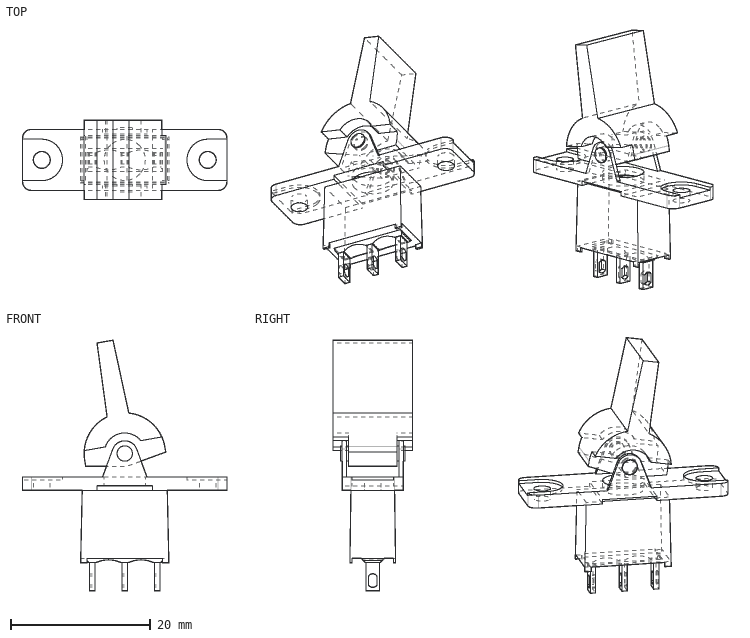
import cadquery as cq
import math

PLATE_LENGTH = 29.36
PLATE_WIDTH = 8.79
PLATE_THICKNESS = 1.95
PLATE_CORNER_RADIUS = 1.27
MOUNT_HOLE_DIAMETER = 2.39
MOUNT_HOLE_X = 11.91
MOUNT_POCKET_RADIUS = 2.98
MOUNT_POCKET_DEPTH = 0.43
CENTRE_BORE_DIAMETER = 5.9
RELIEF_LENGTH = 7.96
RELIEF_DEPTH = 0.65

PIVOT_HEIGHT = 5.3
PIVOT_DIAMETER = 2.2
PIVOT_LENGTH = 9.26
EAR_TIP_RADIUS = 1.83
EAR_BASE_HALF = 3.2
EAR_THICKNESS = 0.64

ROCKER_TILT = 10.0
ROCKER_WIDTH = 11.43
ROCKER_CORE_WIDTH = 7.03
ROCKER_RADIUS = 5.85
UNDERSIDE_DEPTH = 1.86
UNDERSIDE_SLOPE = 10.0
PADDLE_TOP = 16.33
PADDLE_TOP_HALF = 1.18
PADDLE_ROOT_HALF = 1.6
SHOULDER_HEIGHT = 1.42
EAR_CLEARANCE_RADIUS = 2.95

BODY_TOP_LENGTH = 12.25
BODY_TOP_WIDTH = 6.3
BODY_BOTTOM_LENGTH = 12.7
BODY_BOTTOM_WIDTH = 6.6
BODY_HEIGHT = 10.4
FOOT_HEIGHT = 0.64
FOOT_GAP_LENGTH = 10.8
FOOT_GAP_WIDTH = 5.9

TERMINAL_PITCH = 4.66
TERMINAL_THICKNESS = 0.8
TERMINAL_WIDTH = 2.0
OVERALL_HEIGHT = 35.99
SLOT_WIDTH = 1.2
SLOT_LENGTH = 1.9
SLOT_END_RISE = 0.3
SLOT_TIP_MARGIN = 0.52
SEAL_DEPTH = 0.6
SEAL_EDGE_DEPTH = 0.3
SEAL_VALLEY_DEPTH = 0.22
SEAL_BASE_WIDTH = 3.3
SEAL_TIP_WIDTH = 2.1
SEAL_TIP_HALF_LENGTH = 0.55

seat_z = FOOT_HEIGHT - BODY_HEIGHT
tilt = math.radians(ROCKER_TILT)
rocker_top_z = PIVOT_HEIGHT + PADDLE_TOP_HALF * math.sin(tilt) + PADDLE_TOP * math.cos(tilt)
terminal_tip_z = rocker_top_z - OVERALL_HEIGHT
terminal_xs = [-TERMINAL_PITCH, 0, TERMINAL_PITCH]


def block(length, width, z_low, z_high):
    """Box centred on the Z axis between two heights."""
    box = cq.Workplane("XY").workplane(offset=z_low).rect(length, width)
    return box.extrude(z_high - z_low)


def along_y(outline, width):
    """Extrude an XZ outline symmetrically about Y = 0."""
    return outline.extrude(width / 2, both=True)


def make_plate():
    plate = block(PLATE_LENGTH, PLATE_WIDTH, 0, PLATE_THICKNESS)
    plate = plate.edges("|Z").fillet(PLATE_CORNER_RADIUS)
    floor_z = PLATE_THICKNESS - MOUNT_POCKET_DEPTH
    open_length = PLATE_LENGTH / 2 - MOUNT_HOLE_X
    for side in (-1, 1):
        hole_x = side * MOUNT_HOLE_X
        floor = cq.Workplane("XY").workplane(offset=floor_z)
        pocket = floor.center(hole_x, 0).circle(MOUNT_POCKET_RADIUS).extrude(MOUNT_POCKET_DEPTH)
        mouth = floor.center(hole_x + side * open_length / 2, 0)
        mouth = mouth.rect(open_length, 2 * MOUNT_POCKET_RADIUS).extrude(MOUNT_POCKET_DEPTH)
        hole = cq.Workplane("XY").center(hole_x, 0).circle(MOUNT_HOLE_DIAMETER / 2)
        plate = plate.cut(pocket).cut(mouth).cut(hole.extrude(PLATE_THICKNESS))
    bore = cq.Workplane("XY").circle(CENTRE_BORE_DIAMETER / 2).extrude(PLATE_THICKNESS)
    return plate.cut(bore).cut(block(RELIEF_LENGTH, PLATE_WIDTH, 0, RELIEF_DEPTH))


def make_ears():
    """Pair of tapered lugs whose straight sides run tangent to the round tip."""
    rise = PIVOT_HEIGHT - PLATE_THICKNESS
    base_angle = math.atan2(-rise, EAR_BASE_HALF)
    tangent_angle = base_angle + math.acos(EAR_TIP_RADIUS / math.hypot(rise, EAR_BASE_HALF))
    tangent_x = EAR_TIP_RADIUS * math.cos(tangent_angle)
    tangent_z = PIVOT_HEIGHT + EAR_TIP_RADIUS * math.sin(tangent_angle)
    outline = (
        cq.Workplane("XZ")
        .moveTo(-EAR_BASE_HALF, PLATE_THICKNESS)
        .lineTo(EAR_BASE_HALF, PLATE_THICKNESS)
        .lineTo(tangent_x, tangent_z)
        .threePointArc((0, PIVOT_HEIGHT + EAR_TIP_RADIUS), (-tangent_x, tangent_z))
        .close()
    )
    gap = block(2 * EAR_BASE_HALF, PLATE_WIDTH - 2 * EAR_THICKNESS,
                PLATE_THICKNESS, PIVOT_HEIGHT + EAR_TIP_RADIUS)
    return along_y(outline, PLATE_WIDTH).cut(gap)


def make_pivot():
    outline = cq.Workplane("XZ").center(0, PIVOT_HEIGHT).circle(PIVOT_DIAMETER / 2)
    return along_y(outline, PIVOT_LENGTH)


def make_rocker():
    """Rocker built upright about the pivot axis, then tilted and lifted into place."""
    root_z = math.sqrt(ROCKER_RADIUS**2 - PADDLE_ROOT_HALF**2)
    corner_z = ROCKER_RADIUS * math.tan(math.radians(UNDERSIDE_SLOPE)) - UNDERSIDE_DEPTH
    middle = ROCKER_RADIUS * math.sqrt(0.5)
    outline = (
        cq.Workplane("XZ")
        .moveTo(0, -UNDERSIDE_DEPTH)
        .lineTo(ROCKER_RADIUS, corner_z)
        .lineTo(ROCKER_RADIUS, 0)
        .threePointArc((middle, middle), (PADDLE_ROOT_HALF, root_z))
        .lineTo(PADDLE_TOP_HALF, PADDLE_TOP)
        .lineTo(-PADDLE_TOP_HALF, PADDLE_TOP)
        .lineTo(-PADDLE_ROOT_HALF, root_z)
        .threePointArc((-middle, middle), (-ROCKER_RADIUS, 0))
        .lineTo(-ROCKER_RADIUS, corner_z)
        .close()
    )
    below_shoulder = block(2 * ROCKER_RADIUS, ROCKER_WIDTH, -UNDERSIDE_DEPTH, SHOULDER_HEIGHT)
    ear_clearance = along_y(cq.Workplane("XZ").circle(EAR_CLEARANCE_RADIUS), ROCKER_WIDTH)
    core = block(2 * ROCKER_RADIUS, ROCKER_CORE_WIDTH, -ROCKER_RADIUS, ROCKER_RADIUS)
    side_reliefs = below_shoulder.union(ear_clearance).cut(core)
    rocker = along_y(outline, ROCKER_WIDTH).cut(side_reliefs)
    return rocker.rotate((0, 0, 0), (0, 1, 0), -ROCKER_TILT).translate((0, 0, PIVOT_HEIGHT))


def make_body():
    body = (
        cq.Workplane("XY")
        .rect(BODY_TOP_LENGTH, BODY_TOP_WIDTH)
        .workplane(offset=-BODY_HEIGHT)
        .rect(BODY_BOTTOM_LENGTH, BODY_BOTTOM_WIDTH)
        .loft(ruled=True)
    )
    body = body.cut(block(FOOT_GAP_LENGTH, BODY_BOTTOM_WIDTH, -BODY_HEIGHT, seat_z))
    return body.cut(block(BODY_BOTTOM_LENGTH, FOOT_GAP_WIDTH, -BODY_HEIGHT, seat_z))


def make_seal():
    """Bead with sloped flanks along the terminals, scalloped between them."""
    tip_z = seat_z - SEAL_DEPTH
    half_length = FOOT_GAP_LENGTH / 2
    end_tip_x = TERMINAL_PITCH + SEAL_TIP_HALF_LENGTH
    profile = (
        cq.Workplane("XZ")
        .moveTo(-half_length, seat_z)
        .lineTo(-half_length, seat_z - SEAL_EDGE_DEPTH)
        .lineTo(-end_tip_x, tip_z)
    )
    for left_x, right_x in zip(terminal_xs, terminal_xs[1:]):
        valley = ((left_x + right_x) / 2, seat_z - SEAL_VALLEY_DEPTH)
        profile = profile.lineTo(left_x + SEAL_TIP_HALF_LENGTH, tip_z)
        profile = profile.threePointArc(valley, (right_x - SEAL_TIP_HALF_LENGTH, tip_z))
    profile = (
        profile.lineTo(end_tip_x, tip_z)
        .lineTo(half_length, seat_z - SEAL_EDGE_DEPTH)
        .lineTo(half_length, seat_z)
        .close()
    )
    section = (
        cq.Workplane("YZ")
        .moveTo(-SEAL_BASE_WIDTH / 2, seat_z)
        .lineTo(SEAL_BASE_WIDTH / 2, seat_z)
        .lineTo(SEAL_TIP_WIDTH / 2, tip_z)
        .lineTo(-SEAL_TIP_WIDTH / 2, tip_z)
        .close()
    )
    bead = section.extrude(half_length, both=True)
    return bead.intersect(along_y(profile, SEAL_BASE_WIDTH))


def make_terminal(x):
    """Solder lug with a slot whose ends are shallow arcs."""
    lug = block(TERMINAL_THICKNESS, TERMINAL_WIDTH, terminal_tip_z, seat_z)
    half_width = SLOT_WIDTH / 2
    slot_low = terminal_tip_z + SLOT_TIP_MARGIN
    slot_high = slot_low + SLOT_LENGTH
    slot = (
        cq.Workplane("YZ")
        .moveTo(-half_width, slot_low + SLOT_END_RISE)
        .threePointArc((0, slot_low), (half_width, slot_low + SLOT_END_RISE))
        .lineTo(half_width, slot_high - SLOT_END_RISE)
        .threePointArc((0, slot_high), (-half_width, slot_high - SLOT_END_RISE))
        .close()
        .extrude(TERMINAL_THICKNESS, both=True)
    )
    return lug.cut(slot).translate((x, 0, 0))


result = make_plate().union(make_ears()).union(make_pivot()).union(make_rocker())
result = result.union(make_body()).union(make_seal())
for terminal_x in terminal_xs:
    result = result.union(make_terminal(terminal_x))